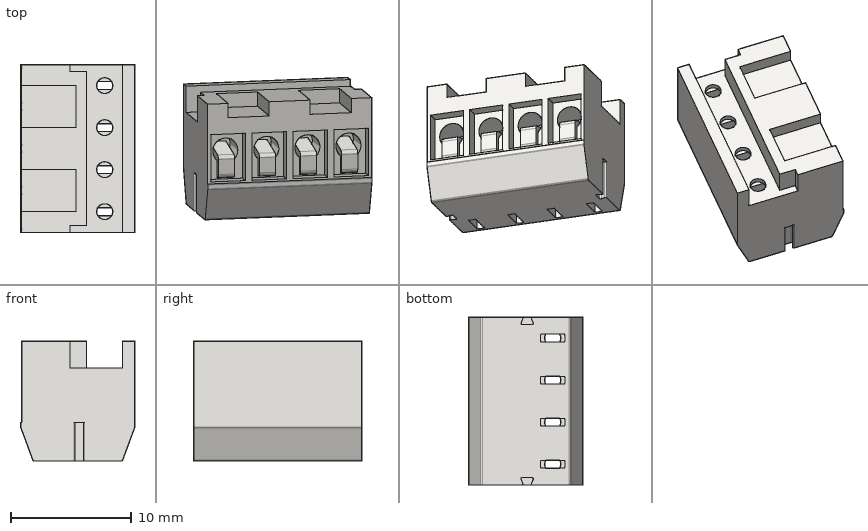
import cadquery as cq
import math

length = 14.0
depth = 9.5
height = 10.0
lip = 0.08
lip_top = 3.23
taper_top = 2.8
taper_inset = 1.04
edge_round = 0.17
lip_round = 0.05

trough_floor = 7.77
trough_front = 5.5
trough_back = 8.47
corner_front = 4.12
corner_width = 0.59

recess_end = 4.62
recess_floor = 8.79
recess_width = length / 4
recess_centers = (length / 4, length * 3 / 4)

pole_count = 4
pitch = length / pole_count
pole_centers = [pitch * (i + 0.5) for i in range(pole_count)]

pocket_width = 2.93
pocket_bottom = 3.4
pocket_top = 7.4
pocket_end = 1.19
bore_diameter = 2.13
bore_center = 5.8

tongue_width = 1.39
tongue_bottom = 3.54
tongue_round = 0.34
tongue_front = 0.73
tongue_top_front = 5.45
tongue_top_back = 6.05
tongue_slope = 10.0
tongue_rise = tongue_top_back - tongue_top_front
bore_end = tongue_front + tongue_rise / math.tan(math.radians(tongue_slope))

screw_x = 7.0
screw_hole = 1.32
screw_head = 2.07
screw_head_depth = 0.45
screw_slot = 0.65

groove_center = 4.87
groove_top = 3.2
groove_mouth = 0.59
groove_mouth_round = 0.1
groove_floor = 1.15
groove_depth = 0.63
groove_floor_round = 0.11


def box(x0, x1, y0, y1, z0, z1):
    """Block between the given X, Y and Z limits."""
    block = cq.Workplane("XY").box(x1 - x0, y1 - y0, z1 - z0, centered=False)
    return block.translate((x0, y0, z0))


def housing():
    """Side outline with the screw trough, extruded across all poles."""
    outline = [
        (taper_inset, 0),
        (depth - taper_inset, 0),
        (depth, taper_top),
        (depth, height),
        (trough_back, height),
        (trough_back, trough_floor),
        (trough_front, trough_floor),
        (trough_front, height),
        (lip, height),
        (lip, lip_top),
        (0, lip_top),
        (0, taper_top),
    ]
    body = cq.Workplane("XZ").polyline(outline).close().extrude(-length)
    above_taper = (taper_top + lip_top) / 2
    taper_region = cq.selectors.BoxSelector((-depth, 0, -height), (2 * depth, length, above_taper))
    body = body.edges("|Y").edges(taper_region).fillet(edge_round)
    return body.edges("|Y and <X").edges(">Z").fillet(lip_round)


def trough_corners():
    """Notches that widen the trough at both ends."""
    near = box(corner_front, trough_front, 0, corner_width, trough_floor, height)
    return near.union(near.translate((0, length - corner_width, 0)))


def marking_recess(y):
    """Shallow recess in the top, open toward the wire-entry side."""
    return box(0, recess_end, y - recess_width / 2, y + recess_width / 2, recess_floor, height)


def wire_entry(y):
    """Rectangular pocket with a round bore in its back wall."""
    pocket = box(0, pocket_end, y - pocket_width / 2, y + pocket_width / 2, pocket_bottom, pocket_top)
    bore = (
        cq.Workplane("YZ", origin=(pocket_end, y, bore_center))
        .circle(bore_diameter / 2)
        .extrude(bore_end - pocket_end)
    )
    return pocket.union(bore)


def clamp_tongue(y):
    """Tongue with a rounded nose whose upper face rises to the end of the bore."""
    outline = [
        (tongue_front, tongue_bottom),
        (bore_end, tongue_bottom),
        (bore_end, tongue_top_back),
        (tongue_front, tongue_top_front),
    ]
    return (
        cq.Workplane("XZ", origin=(0, y + tongue_width / 2, 0))
        .polyline(outline)
        .close()
        .extrude(tongue_width)
        .faces("<X")
        .edges("|Y")
        .fillet(tongue_round)
    )


def screw_opening(y):
    """Round hole down to the wider screw head, whose driver slot runs out through the bottom."""
    head_top = trough_floor - screw_head_depth
    hole = (
        cq.Workplane("XY", origin=(screw_x, y, head_top))
        .circle(screw_hole / 2)
        .extrude(screw_head_depth)
    )
    slot = (
        cq.Workplane("XY", origin=(screw_x, y, 0))
        .circle(screw_head / 2)
        .extrude(head_top)
        .intersect(box(0, depth, y - screw_slot / 2, y + screw_slot / 2, 0, head_top))
    )
    return hole.union(slot)


def dovetail_groove():
    """Cutter for the Y = 0 end; its wide flange lies outside the body and shapes the rounded mouth."""
    flange = groove_floor
    right = [
        (flange, -flange),
        (flange, 0),
        (groove_mouth / 2, 0),
        (groove_floor / 2, groove_depth),
    ]
    left = [(-x, y) for x, y in reversed(right)]
    cutter = cq.Workplane("XY").polyline(right + left).close().extrude(groove_top)
    half_depth = groove_depth / 2
    mouth = cq.selectors.BoxSelector((-groove_mouth, -half_depth, 0), (groove_mouth, half_depth, groove_top))
    cutter = cutter.edges("|Z and >Y").fillet(groove_floor_round)
    cutter = cutter.edges("|Z").edges(mouth).fillet(groove_mouth_round)
    return cutter.translate((groove_center, 0, 0))


result = housing().cut(trough_corners())

for y in recess_centers:
    result = result.cut(marking_recess(y))

for y in pole_centers:
    result = result.cut(wire_entry(y)).union(clamp_tongue(y)).cut(screw_opening(y))

groove = dovetail_groove()
result = result.cut(groove).cut(groove.mirror("XZ", (0, length / 2, 0)))